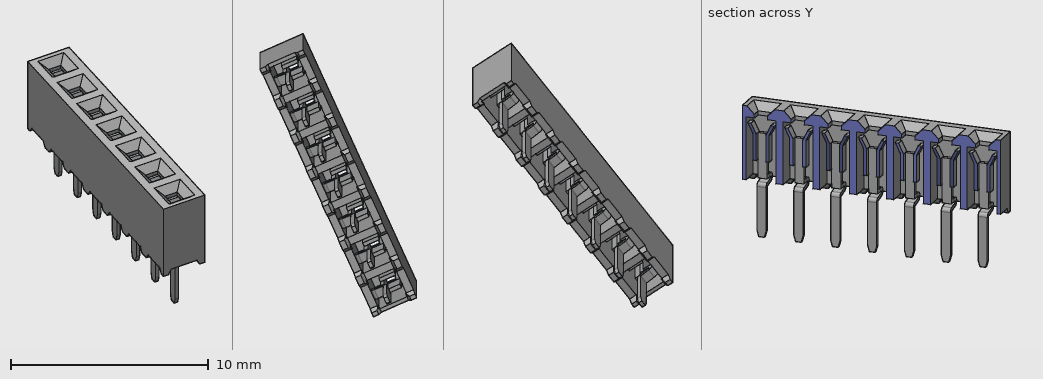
import cadquery as cq
import math

contact_count = 7
pitch = 2.0

housing_length = contact_count * pitch
housing_width = 2.4
housing_height = 4.3
foot_height = 0.3
notch_top_width = 1.2
notch_bottom_width = 1.55
channel_top_width = 1.5
channel_bottom_width = 1.8

funnel_mouth = 1.5
entry_size = 0.7
funnel_depth = (funnel_mouth - entry_size) / 2
entry_depth = 0.22
cavity_length = 1.6
cavity_width = 1.6
cavity_top = housing_height - funnel_depth - entry_depth

metal = 0.2
strip_width = 0.5
tail_bottom = -2.7
tip_width = 0.3
tip_length = 0.35
shelf_slope = math.radians(12)
shelf_bend_height = 0.0
shelf_bend_radius = 0.01
hairpin_reach = -0.79
hairpin_radius = 0.05
back_outer_y = -0.25
back_inner_y = back_outer_y + metal
back_top = 2.85
arm_bottom = 1.4
arm_end_y = 0.6
arm_flare = 0.28
flare_angle = math.radians(27)
arm_top = back_top + arm_flare / math.tan(flare_angle)

contact_positions = [(i - (contact_count - 1) / 2) * pitch for i in range(contact_count)]


def trapezoid_groove(plane, top_width, bottom_width, length):
    """Groove of foot height, centred on the plane origin, wider at the underside."""
    return (
        cq.Workplane(plane)
        .polyline([
            (-bottom_width / 2, 0),
            (bottom_width / 2, 0),
            (top_width / 2, foot_height),
            (-top_width / 2, foot_height),
        ])
        .close()
        .extrude(length / 2, both=True)
    )


def contact_opening():
    """Funnel, square entry hole and cavity for one contact, open to the underside."""
    funnel = (
        cq.Workplane("XY", origin=(0, 0, housing_height))
        .rect(funnel_mouth, funnel_mouth)
        .workplane(offset=-funnel_depth)
        .rect(entry_size, entry_size)
        .loft()
    )
    entry = (
        cq.Workplane("XY", origin=(0, 0, cavity_top))
        .rect(entry_size, entry_size)
        .extrude(entry_depth)
    )
    cavity = (
        cq.Workplane("XY", origin=(0, 0, foot_height))
        .rect(cavity_length, cavity_width)
        .extrude(cavity_top - foot_height)
    )
    return funnel.union(entry).union(cavity)


def make_housing():
    body = cq.Workplane("XY").rect(housing_length, housing_width).extrude(housing_height)
    body = body.cut(trapezoid_groove("YZ", channel_top_width, channel_bottom_width, housing_length))
    notch = trapezoid_groove("XZ", notch_top_width, notch_bottom_width, housing_width)
    opening = contact_opening()
    for x in contact_positions:
        body = body.cut(notch.translate((x, 0, 0)))
        body = body.cut(opening.translate((x, 0, 0)))
    return body


def contact_strip():
    """Tail, sloping shelf, hairpin bend and upright back, bent from one strip."""
    tail_front_y = -metal / 2
    tail_back_y = metal / 2
    shelf_bend_y = tail_front_y - shelf_bend_radius
    shelf_bend_outer = shelf_bend_radius + metal
    hairpin_outer = hairpin_radius + metal
    hairpin_y = hairpin_reach + hairpin_outer

    centre_rise = (
        (shelf_bend_y - hairpin_y) * math.tan(shelf_slope)
        + (shelf_bend_radius + hairpin_outer) / math.cos(shelf_slope)
    )
    hairpin_z = shelf_bend_height + centre_rise
    shelf_angle = math.pi / 2 - shelf_slope
    half_shelf_angle = shelf_angle / 2
    turn_angle = math.pi

    def at_shelf_bend(radius, angle):
        return (shelf_bend_y + radius * math.cos(angle), shelf_bend_height + radius * math.sin(angle))

    def at_hairpin(radius, angle):
        return (hairpin_y + radius * math.cos(angle), hairpin_z + radius * math.sin(angle))

    profile = (
        cq.Workplane("YZ")
        .moveTo(tail_front_y, tail_bottom)
        .lineTo(tail_back_y, tail_bottom)
        .lineTo(tail_back_y, shelf_bend_height)
        .threePointArc(
            at_shelf_bend(shelf_bend_outer, half_shelf_angle),
            at_shelf_bend(shelf_bend_outer, shelf_angle),
        )
        .lineTo(*at_hairpin(hairpin_radius, shelf_angle + math.pi))
        .threePointArc(at_hairpin(hairpin_radius, turn_angle), at_hairpin(hairpin_radius, math.pi / 2))
        .lineTo(back_inner_y, hairpin_z + hairpin_radius)
        .lineTo(back_inner_y, back_top)
        .lineTo(back_outer_y, back_top)
        .lineTo(back_outer_y, hairpin_z + hairpin_outer)
        .lineTo(hairpin_y, hairpin_z + hairpin_outer)
        .threePointArc(at_hairpin(hairpin_outer, turn_angle), at_hairpin(hairpin_outer, shelf_angle + math.pi))
        .lineTo(*at_shelf_bend(shelf_bend_radius, shelf_angle))
        .threePointArc(
            at_shelf_bend(shelf_bend_radius, half_shelf_angle),
            at_shelf_bend(shelf_bend_radius, 0),
        )
        .close()
    )
    strip = profile.extrude(strip_width / 2, both=True)

    shoulder_z = tail_bottom + tip_length
    front_outline = (
        cq.Workplane("XZ")
        .polyline([
            (-tip_width / 2, tail_bottom),
            (tip_width / 2, tail_bottom),
            (strip_width / 2, shoulder_z),
            (strip_width / 2, back_top),
            (-strip_width / 2, back_top),
            (-strip_width / 2, shoulder_z),
        ])
        .close()
        .extrude(housing_width, both=True)
    )
    return strip.intersect(front_outline)


def contact_arm():
    """Arm on the +X side of the back, upright at first and flaring outwards at its top."""
    inner_x = strip_width / 2
    outer_x = inner_x + metal
    return (
        cq.Workplane("XZ", origin=(0, back_outer_y, 0))
        .polyline([
            (inner_x, arm_bottom),
            (outer_x, arm_bottom),
            (outer_x, back_top),
            (outer_x + arm_flare, arm_top),
            (inner_x + arm_flare, arm_top),
            (inner_x, back_top),
        ])
        .close()
        .extrude(back_outer_y - arm_end_y)
    )


def make_contact():
    arm = contact_arm()
    return contact_strip().union(arm).union(arm.mirror("YZ"))


housing = make_housing()

contact = make_contact()
contacts = [contact.translate((x, 0, 0)) for x in contact_positions]

result = cq.Compound.makeCompound([housing.val(), *[placed.val() for placed in contacts]])